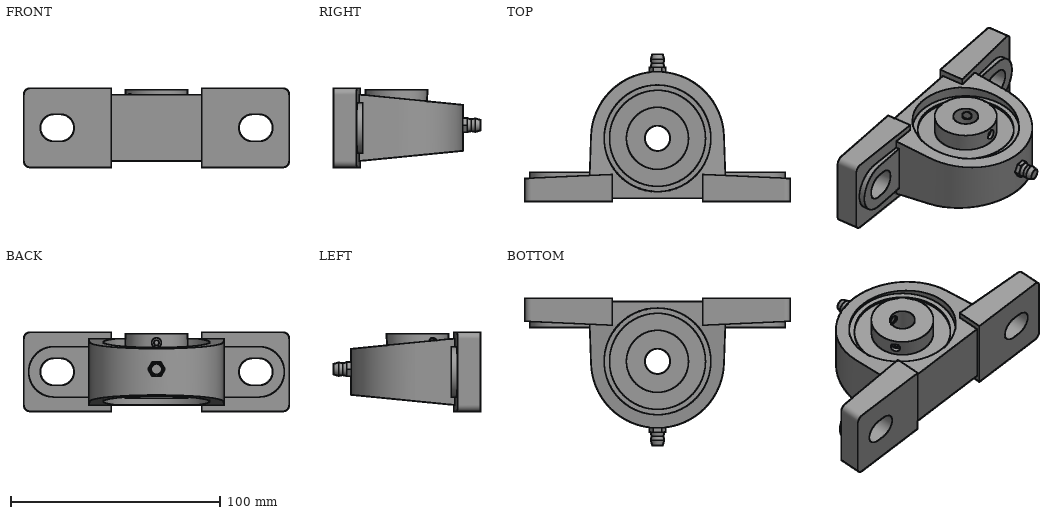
import cadquery as cq
import math


LENGTH = 127.0
FOOT_WIDTH = 38.0
FOOT_INNER_X = 21.6
FOOT_END_HEIGHT = 11.0
FOOT_INNER_HEIGHT = 13.0
FOOT_CORNER_RADIUS = 3.0
SLOT_SPACING = 95.0
SLOT_LENGTH = 16.0
SLOT_WIDTH = 12.8
BOSS_RADIUS = 12.1
BOSS_HEIGHT = 14.1

SHAFT_HEIGHT = 30.2
ARCH_RADIUS = 31.9
ARCH_SIDE_ANGLE = 2.0
BLOCK_UNDERSIDE = 1.5
TAPER_START_HEIGHT = 13.0
BASE_THICKNESS = 31.8
CROWN_THICKNESS = 22.1
BORE_RADIUS = 25.5

NIPPLE_Z = 1.3
HEX_ACROSS_FLATS = 7.0
HEX_TOP = 64.1
NECK_HEIGHT = 66.0
RIDGE_HEIGHT = 68.0
NIPPLE_TOP = 70.5
NIPPLE_BASE_RADIUS = 3.3
NECK_RADIUS = 2.9
RIDGE_RADIUS = 3.3
TIP_RADIUS = 2.5
NIPPLE_ROOT_DEPTH = 1.3

RING_WIDTH = 21.1
SEAL_RADIUS = 23.0
SEAL_DEPTH = 1.0
COLLAR_RADIUS = 14.9
COLLAR_TOP_Z = 18.3
COLLAR_BOTTOM_Z = -12.7
SHAFT_RADIUS = 6.0

SCREW_ANGLES = (90, 210)
SCREW_Z = 14.0
SCREW_RADIUS = 2.3
SCREW_OUTER_RECESS = 1.9
SCREW_INNER_RECESS = 0.6
SOCKET_ACROSS_FLATS = 2.3
SOCKET_DEPTH = 2.5

HEX_SIDES = 6
CORNERS_PER_FLATS = 1 / math.cos(math.pi / HEX_SIDES)

CROWN_HEIGHT = SHAFT_HEIGHT + ARCH_RADIUS


def along_y(start):
    """Sketch plane at height Y = start, facing +Y; its local y is global -Z."""
    return cq.Workplane("XZ", origin=(0, start, 0)).transformed(rotate=(180, 0, 0))


def foot(side):
    """One mounting foot, with a sloping top and rounded outer corners."""
    inner = side * FOOT_INNER_X
    outer = side * LENGTH / 2
    return (
        cq.Workplane("XY")
        .polyline([(inner, 0), (outer, 0), (outer, FOOT_END_HEIGHT), (inner, FOOT_INNER_HEIGHT)])
        .close()
        .extrude(FOOT_WIDTH / 2, both=True)
        .edges("|Y")
        .edges(">X" if side > 0 else "<X")
        .fillet(FOOT_CORNER_RADIUS)
    )


def slot_boss(side):
    """Flat pad round the slot, rounded at its outer end and running into the arch."""
    arc_centre = (SLOT_SPACING + SLOT_LENGTH - SLOT_WIDTH) / 2
    pad_length = arc_centre - FOOT_INNER_X
    round_end = along_y(0).center(side * arc_centre, 0).circle(BOSS_RADIUS).extrude(BOSS_HEIGHT)
    straight = (
        along_y(0)
        .center(side * (arc_centre - pad_length / 2), 0)
        .rect(pad_length, 2 * BOSS_RADIUS)
        .extrude(BOSS_HEIGHT)
    )
    return round_end.union(straight)


def bolt_slots():
    """Cutters for the two slots, from the mounting face up through the bosses."""
    return (
        along_y(0)
        .pushPoints([(-SLOT_SPACING / 2, 0), (SLOT_SPACING / 2, 0)])
        .slot2D(SLOT_LENGTH, SLOT_WIDTH)
        .extrude(BOSS_HEIGHT)
    )


def arched_body():
    """Block and arch: the front outline, thinned towards the crown."""
    lean = math.radians(ARCH_SIDE_ANGLE)
    tangent_x = ARCH_RADIUS * math.cos(lean)
    tangent_y = SHAFT_HEIGHT + ARCH_RADIUS * math.sin(lean)
    arch_foot_x = tangent_x + (tangent_y - FOOT_END_HEIGHT) * math.tan(lean)
    arch = (
        cq.Workplane("XY")
        .moveTo(-arch_foot_x, FOOT_END_HEIGHT)
        .lineTo(-tangent_x, tangent_y)
        .threePointArc((0, CROWN_HEIGHT), (tangent_x, tangent_y))
        .lineTo(arch_foot_x, FOOT_END_HEIGHT)
        .close()
        .extrude(BASE_THICKNESS / 2, both=True)
    )
    block_height = TAPER_START_HEIGHT - BLOCK_UNDERSIDE
    block = cq.Workplane("XY").box(2 * FOOT_INNER_X, block_height, BASE_THICKNESS)
    block = block.translate((0, BLOCK_UNDERSIDE + block_height / 2, 0))
    base_z = BASE_THICKNESS / 2
    crown_z = CROWN_THICKNESS / 2
    side_profile = (
        cq.Workplane("YZ")
        .polyline([
            (BLOCK_UNDERSIDE, -base_z),
            (TAPER_START_HEIGHT, -base_z),
            (CROWN_HEIGHT, -crown_z),
            (CROWN_HEIGHT, crown_z),
            (TAPER_START_HEIGHT, base_z),
            (BLOCK_UNDERSIDE, base_z),
        ])
        .close()
        .extrude(LENGTH / 2, both=True)
    )
    return arch.union(block).intersect(side_profile)


def grease_nipple():
    """Hexagon with a waisted, tapered head, standing on the crown of the arch."""
    root = CROWN_HEIGHT - NIPPLE_ROOT_DEPTH
    across_corners = HEX_ACROSS_FLATS * CORNERS_PER_FLATS
    hexagon = along_y(root).polygon(HEX_SIDES, across_corners).extrude(HEX_TOP - root)
    head = (
        cq.Workplane("XY")
        .polyline([
            (0, root),
            (NIPPLE_BASE_RADIUS, root),
            (NIPPLE_BASE_RADIUS, HEX_TOP),
            (NECK_RADIUS, NECK_HEIGHT),
            (RIDGE_RADIUS, RIDGE_HEIGHT),
            (TIP_RADIUS, NIPPLE_TOP),
            (0, NIPPLE_TOP),
        ])
        .close()
        .revolve(360, (0, 0), (0, 1))
    )
    return hexagon.union(head).translate((0, 0, NIPPLE_Z))


def make_housing():
    """Arched body with its feet, bearing bore and grease nipple, as one solid."""
    body = arched_body()
    for side in (-1, 1):
        body = body.union(foot(side)).union(slot_boss(side))
    bore = cq.Workplane("XY").center(0, SHAFT_HEIGHT).circle(BORE_RADIUS).extrude(FOOT_WIDTH, both=True)
    return body.cut(bolt_slots()).cut(bore).union(grease_nipple())


def set_screw_recesses(angle):
    """Spaces left above and below one set screw, and its hexagon socket."""
    screw_face = COLLAR_RADIUS - SCREW_OUTER_RECESS
    screw_tip = SHAFT_RADIUS + SCREW_INNER_RECESS
    socket_corners = SOCKET_ACROSS_FLATS * CORNERS_PER_FLATS

    def radial_plane(distance):
        return cq.Workplane("YZ", origin=(distance, 0, SCREW_Z))

    outer = radial_plane(screw_face).circle(SCREW_RADIUS).extrude(COLLAR_RADIUS - screw_face)
    socket = radial_plane(screw_face - SOCKET_DEPTH).polygon(HEX_SIDES, socket_corners).extrude(SOCKET_DEPTH)
    inner = radial_plane(0).circle(SCREW_RADIUS).extrude(screw_tip)
    return outer.union(socket).union(inner).rotate((0, 0, 0), (0, 0, 1), angle)


def make_bearing():
    """Outer ring, sunken seals and collared inner ring as one revolved solid."""
    ring_z = RING_WIDTH / 2
    seal_z = ring_z - SEAL_DEPTH
    bearing = (
        cq.Workplane("XZ")
        .polyline([
            (SHAFT_RADIUS, COLLAR_BOTTOM_Z),
            (COLLAR_RADIUS, COLLAR_BOTTOM_Z),
            (COLLAR_RADIUS, -seal_z),
            (SEAL_RADIUS, -seal_z),
            (SEAL_RADIUS, -ring_z),
            (BORE_RADIUS, -ring_z),
            (BORE_RADIUS, ring_z),
            (SEAL_RADIUS, ring_z),
            (SEAL_RADIUS, seal_z),
            (COLLAR_RADIUS, seal_z),
            (COLLAR_RADIUS, COLLAR_TOP_Z),
            (SHAFT_RADIUS, COLLAR_TOP_Z),
        ])
        .close()
        .revolve(360, (0, 0), (0, 1))
    )
    for angle in SCREW_ANGLES:
        bearing = bearing.cut(set_screw_recesses(angle))
    return bearing.translate((0, SHAFT_HEIGHT, 0))


housing = make_housing()
bearing = make_bearing()

result = cq.Compound.makeCompound([housing.val(), bearing.val()])